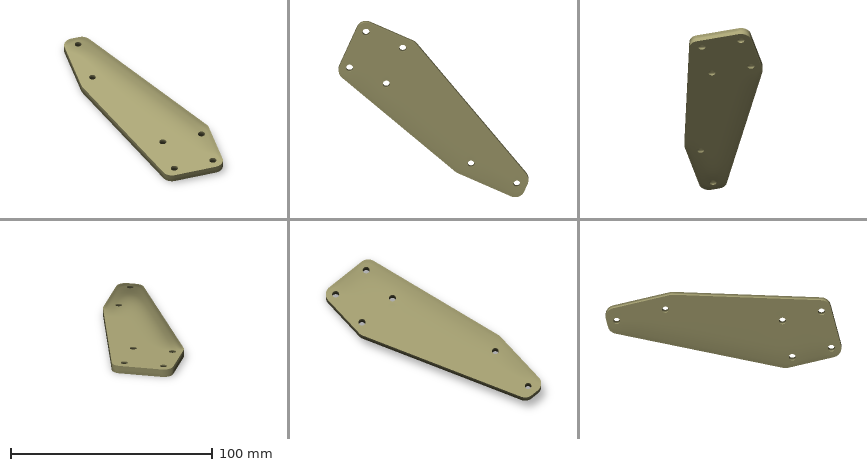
import cadquery as cq

length = 110.0
width = 52.0
thickness = 4.0
corner_radius = 5.0

left = corner_radius
right = length - corner_radius
bottom = corner_radius
top = width - corner_radius
left_upper_y = 9.0
bottom_bend_x = 34.1
right_lower_y = 25.7
top_bend_x = 81.5

square_hole_diameter = 3.5
square_hole_pitch = 20.0
lower_hole_y = top - square_hole_pitch

pair_hole_diameter = 3.3
pair_hole_pitch = 25.0
pair_hole_y = 7.0


def make_plate():
    """Plate whose corners all have the same radius: arc centres grown outward."""
    arc_centres = [
        (left, bottom),
        (bottom_bend_x, bottom),
        (right, right_lower_y),
        (right, top),
        (top_bend_x, top),
        (left, left_upper_y),
    ]
    return (
        cq.Workplane("XY")
        .polyline(arc_centres)
        .close()
        .offset2D(corner_radius, "arc")
        .extrude(thickness)
    )


def make_holes(centres, diameter):
    """Cylinders that pass through the full plate thickness."""
    return cq.Workplane("XY").pushPoints(centres).circle(diameter / 2).extrude(thickness)


square_hole_centres = [
    (x, y)
    for x in (right - square_hole_pitch, right)
    for y in (lower_hole_y, top)
]
pair_hole_centres = [(left + offset, pair_hole_y) for offset in (0, pair_hole_pitch)]

result = (
    make_plate()
    .cut(make_holes(square_hole_centres, square_hole_diameter))
    .cut(make_holes(pair_hole_centres, pair_hole_diameter))
)